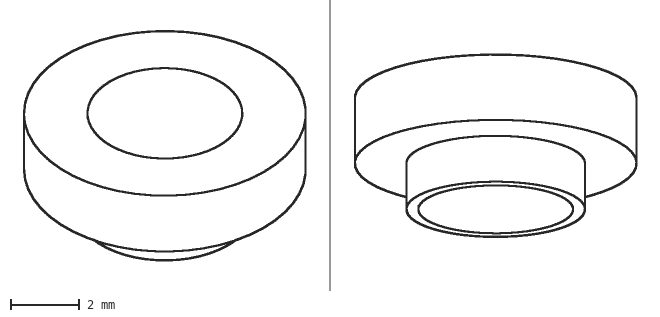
import cadquery as cq

flange_diameter = 8.2
neck_diameter = 5.2
bore_diameter = 4.5
total_height = 3.4
flange_height = 2.0
neck_height = total_height - flange_height

neck = cq.Workplane("XY").circle(neck_diameter / 2).extrude(neck_height)

bushing = neck.faces(">Z").workplane().circle(flange_diameter / 2).extrude(flange_height)

result = bushing.faces(">Z").workplane().hole(bore_diameter)